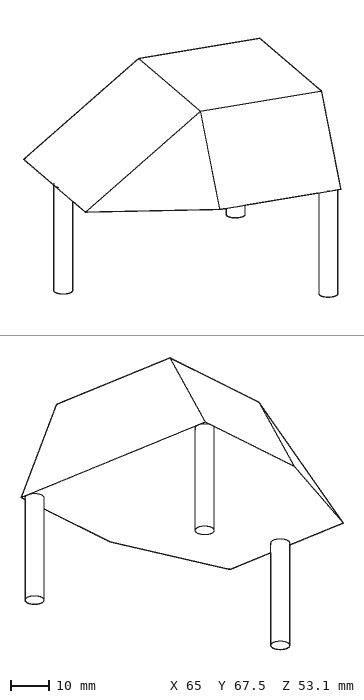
import cadquery as cq

width = 65.0
length = 67.5
body_height = 23.1
top_width = 40.0
top_length = 34.6
leg_diameter = 5.0
leg_length = 30.0

leg_radius = leg_diameter / 2
half_width = width / 2
half_top = top_width / 2
back = length / 2
front = -length / 2
shoulder = back - top_length


def polygon_face(points):
    return cq.Face.makeFromWires(cq.Wire.makePolygon([cq.Vector(*p) for p in points], close=True))


def make_body():
    """Faceted solid with sloping sides, a sloping front and a flat base at Z = 0."""
    base_back, base_shoulder, base_front, top_back, top_front = [
        [(side * x, y, z) for side in (-1, 1)]
        for x, y, z in (
            (half_width, back, 0),
            (half_width, shoulder, 0),
            (half_top, front, 0),
            (half_top, back, body_height),
            (half_top, shoulder, body_height),
        )
    ]
    faces = [
        polygon_face([*base_back, base_shoulder[1], *reversed(base_front), base_shoulder[0]]),
        polygon_face([*top_back, *reversed(top_front)]),
        polygon_face([*base_back, *reversed(top_back)]),
        polygon_face([*base_front, *reversed(top_front)]),
    ]
    for side in (0, 1):
        faces.append(
            polygon_face([base_back[side], base_shoulder[side], top_front[side], top_back[side]])
        )
        faces.append(polygon_face([base_shoulder[side], base_front[side], top_front[side]]))
    return cq.Workplane(cq.Solid.makeSolid(cq.Shell.makeShell(faces)))


def make_legs():
    """Two legs in the back corners and one in the middle of the front edge."""
    back_leg_x = half_width - leg_radius
    back_leg_y = back - leg_radius
    positions = [(-back_leg_x, back_leg_y), (back_leg_x, back_leg_y), (0, front + leg_radius)]
    return cq.Workplane("XY").pushPoints(positions).circle(leg_radius).extrude(-leg_length)


result = make_body().union(make_legs())